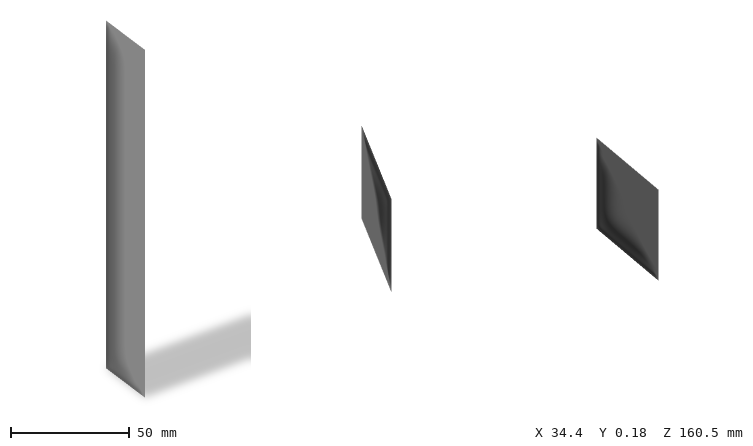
import cadquery as cq

width = 34.4
thickness = 0.18
height = 160.5

result = cq.Workplane("XY").box(width, thickness, height)